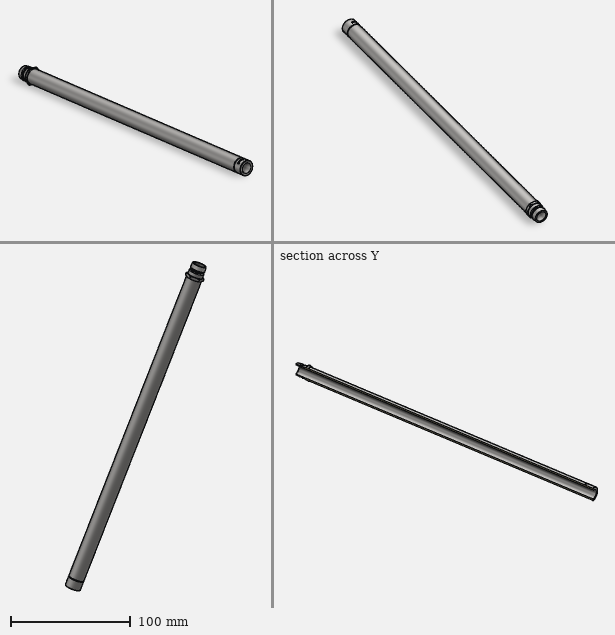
import cadquery as cq
import math

total_length = 300.0
tube_diameter = 13.5
bore_diameter = 9.0

plug_diameter = 13.0
plug_tip_diameter = 12.0
seal_groove_start = 4.0
seal_groove_width = 2.8
seal_groove_diameter = 11.8
seal_groove_floor_width = 1.0

hex_across_flats = 14.0
hex_across_corners = hex_across_flats / math.cos(math.pi / 6)
hex_start = 10.0
hex_width = 2.8
hex_face_diameter = 13.8
hex_chamfer_angle = math.radians(30)

cap_length = 8.9
joint_width = 0.8
joint_depth = 0.3
cap_chamfer = 0.3

slot_from_end = 4.8
slot_width = 1.2
slot_floor_height = 3.8


def revolve_about_x(outline):
    """Solid of revolution about X from (x, radius) points."""
    return cq.Workplane("XZ").polyline(outline).close().revolve(360, (0, 0, 0), (1, 0, 0))


def make_plug():
    """Plug with a tapered nose and one seal groove with sloping walls."""
    radius = plug_diameter / 2
    groove_radius = seal_groove_diameter / 2
    wall_width = (seal_groove_width - seal_groove_floor_width) / 2
    groove_end = seal_groove_start + seal_groove_width
    outline = [
        (0, 0),
        (0, plug_tip_diameter / 2),
        (seal_groove_start, radius),
        (seal_groove_start + wall_width, groove_radius),
        (groove_end - wall_width, groove_radius),
        (groove_end, radius),
        (hex_start, radius),
        (hex_start, 0),
    ]
    return revolve_about_x(outline)


def make_hex_flange():
    """Hexagon with two corners on the Y axis and its corners chamfered on both faces."""
    hexagon = (
        cq.Workplane("YZ")
        .workplane(offset=hex_start)
        .polygon(6, hex_across_corners)
        .extrude(hex_width)
    )
    inner_radius = hex_face_diameter / 2
    outer_radius = hex_across_corners / 2
    chamfer_length = (outer_radius - inner_radius) * math.tan(hex_chamfer_angle)
    hex_end = hex_start + hex_width
    envelope = [
        (hex_start, 0),
        (hex_start, inner_radius),
        (hex_start + chamfer_length, outer_radius),
        (hex_end - chamfer_length, outer_radius),
        (hex_end, inner_radius),
        (hex_end, 0),
    ]
    return hexagon.intersect(revolve_about_x(envelope))


def make_tube():
    """Plain tube body with the V-shaped joint groove and the chamfered end cap."""
    tube_start = hex_start + hex_width
    radius = tube_diameter / 2
    joint_start = total_length - cap_length
    joint_end = joint_start + joint_width
    outline = [
        (tube_start, 0),
        (tube_start, radius),
        (joint_start, radius),
        (joint_start + joint_width / 2, radius - joint_depth),
        (joint_end, radius),
        (total_length - cap_chamfer, radius),
        (total_length, radius - cap_chamfer),
        (total_length, 0),
    ]
    return revolve_about_x(outline)


def make_bore():
    return cq.Workplane("YZ").circle(bore_diameter / 2).extrude(total_length)


def make_cap_slot():
    """Block reaching outward from the -Y, +Z quarter of the cap."""
    reach = tube_diameter
    return cq.Workplane("XY").box(slot_width, reach, reach).translate(
        (total_length - slot_from_end, -reach / 2, slot_floor_height + reach / 2)
    )


result = make_plug().union(make_hex_flange()).union(make_tube()).cut(make_bore()).cut(make_cap_slot())